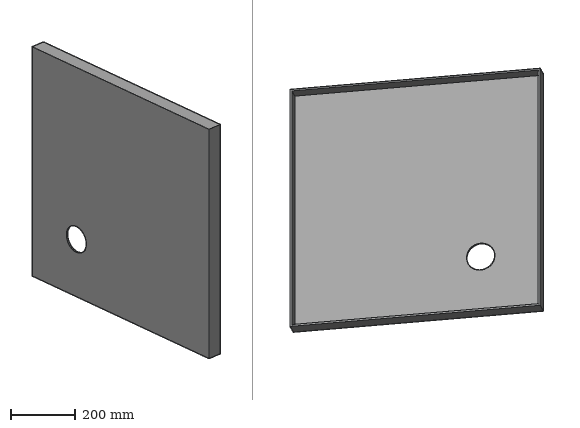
import cadquery as cq

side = 800.0
depth = 50.0
wall = 6.0

hole_diameter = 90.0
hole_inset = side / 4
hole_offset = hole_inset - side / 2

block = cq.Workplane("XY").box(side, depth, side)
tray = block.faces(">Y").shell(-wall)

hole_cutter = (
    cq.Workplane("XZ", origin=(0, depth / 2, 0))
    .center(hole_offset, hole_offset)
    .circle(hole_diameter / 2)
    .extrude(depth)
)

result = tray.cut(hole_cutter)